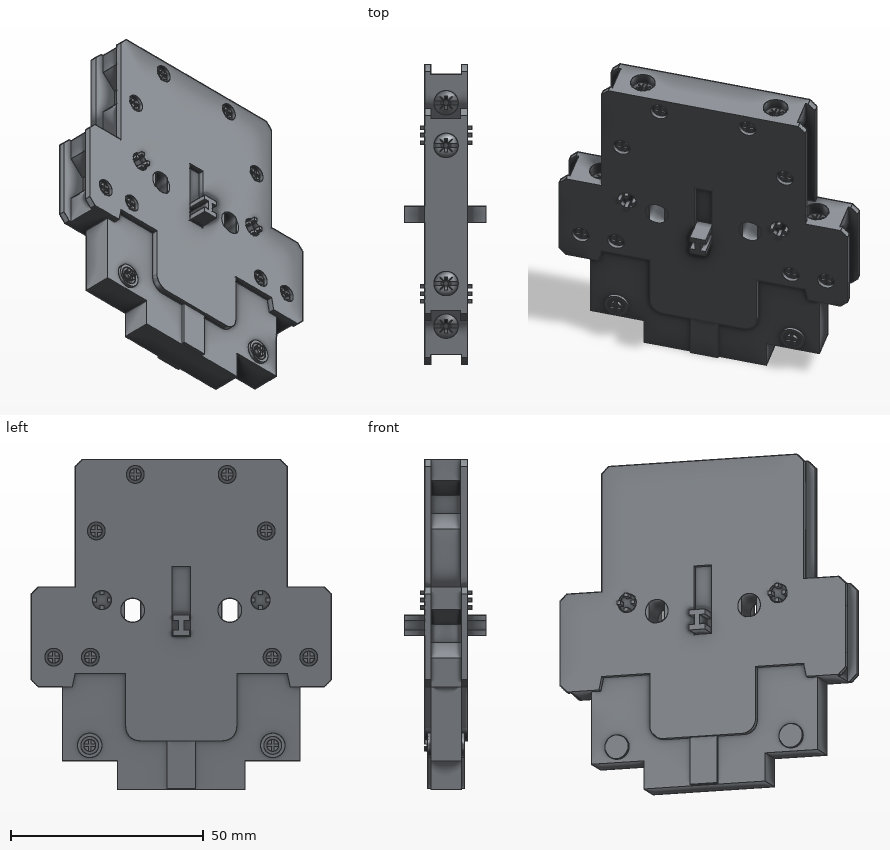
import cadquery as cq


housing_half = 5.6
core_half = 3.95
base_relief_half = 4.8
upper_gap_right = 3.7

total_height = 85.8
tier_top = 52.7
tier_bottom = 26.7
shoulder_height = 30.2
tongue_bottom = 12.7
base_bottom = 7.5

total_length = 78.0
lower_half = total_length / 2
upper_half = 27.5
cheek_foot_half = 28.3
tongue_half = 14.4
base_half = 30.9
foot_half = 16.6
corner_chamfer = 1.9
tongue_radius = 3.6

entry_setback = 2.6
funnel_depth = 4.3
funnel_upper_slope = 3.95
funnel_throat = 4.6
funnel_lower_slope = 4.0
upper_lip = 5.5
lower_lip = 5.8

strip_half = 3.7
strip_bottom = 0.3

bore_y = 12.6
bore_z = 46.6
bore_radius = 3.1
bore_opening_half = 2.1
bore_lip = 0.3

guide_half = 2.4
guide_bottom = 39.7
guide_top = 57.9
guide_depth = 1.55
slider_left = -10.8
slider_length = 21.2
slider_half = 2.15
slider_bottom = 40.0
slider_top = 45.3
slider_web_half = 0.7
slider_web_bottom = 41.4
slider_web_top = 43.9

terminal_radius = 3.2
terminal_head_height = 1.9
terminal_dome = 0.7
terminal_slot_width = 1.0
terminal_slot_depth = 0.9
terminal_cross_reach = 1.9
terminal_cross_width = 0.9
terminal_cross_depth = 1.7
terminal_cross_floor = 0.7
terminal_mark_reach = 2.2
terminal_mark_width = 0.2
terminal_mark_depth = 0.7
terminal_places = [(17.9, total_height, 4.6), (29.0, tier_top, 5.3)]

screw_hole_radius = 2.3
screw_hole_depth = 1.2
screw_head_radius = 1.55
screw_head_height = 0.9
screw_cross_width = 0.7
screw_cross_depth = 0.6
screw_places = [(11.9, 81.85), (22.05, 67.2), (33.1, 34.4), (23.6, 34.4)]

boss_y = 23.8
boss_z = 11.5
boss_radius = 3.2
boss_rim_depth = 0.3

peg_y = 20.6
peg_z = 49.25
peg_radius = 2.5
peg_disc_height = 0.9
peg_sunk = 1.55
prong_inner = 1.5
prong_outer = 2.4
prong_width = 1.0
prong_reach = 1.1


def block(x0, x1, y0, y1, z0, z1):
    """Box between opposite corner coordinates."""
    return cq.Workplane("XY").box(x1 - x0, y1 - y0, z1 - z0, centered=False).translate((x0, y0, z0))


def rod(radius, x0, x1, y, z):
    """Cylinder along X."""
    return cq.Workplane("YZ", origin=(x0, 0, 0)).center(y, z).circle(radius).extrude(x1 - x0)


def symmetric_plate(half_outline, x0, x1):
    """Plate from the +Y half of an outline, listed from top to bottom."""
    mirrored = [(-y, z) for y, z in reversed(half_outline)]
    return cq.Workplane("YZ", origin=(x0, 0, 0)).polyline(half_outline + mirrored).close().extrude(x1 - x0)


def cross(reach, width, x0, x1, y, z):
    """Two crossed bars, facing along X."""
    half = width / 2
    upright = block(x0, x1, y - half, y + half, z - reach, z + reach)
    level = block(x0, x1, y - reach, y + reach, z - half, z + half)
    return upright.union(level)



def funnel_points(entry_y, lip_bottom):
    """Outline of one wire entry, from the lip down."""
    throat_y = entry_y - funnel_depth
    throat_top = lip_bottom - funnel_upper_slope
    throat_bottom = throat_top - funnel_throat
    return [
        (entry_y, lip_bottom),
        (throat_y, throat_top),
        (throat_y, throat_bottom),
        (entry_y, throat_bottom - funnel_lower_slope),
    ]


def make_core():
    """Middle of the housing, with both tiers, the wire entries and the base."""
    upper_entry = upper_half - entry_setback
    lower_entry = lower_half - entry_setback
    outline = [(upper_entry, total_height)]
    outline += funnel_points(upper_entry, total_height - upper_lip)
    outline += [(upper_entry, tier_top), (lower_entry, tier_top)]
    outline += funnel_points(lower_entry, tier_top - lower_lip)
    outline += [
        (lower_entry, tier_bottom),
        (base_half, tier_bottom),
        (base_half, base_bottom),
        (foot_half, base_bottom),
        (foot_half, 0),
    ]
    return symmetric_plate(outline, -core_half, core_half)


def make_cheek(x0, x1):
    """Side plate with chamfered corners and a rounded tongue over the base."""
    c = corner_chamfer
    outline = [
        (upper_half - c, total_height),
        (upper_half, total_height - c),
        (upper_half, tier_top),
        (lower_half - c, tier_top),
        (lower_half, tier_top - c),
        (lower_half, tier_bottom + c),
        (lower_half - c, tier_bottom),
        (cheek_foot_half, tier_bottom),
        (upper_half, shoulder_height),
    ]
    tongue = block(x0, x1, -tongue_half, tongue_half, tongue_bottom, tier_top)
    tongue = tongue.edges("|X and <Z").fillet(tongue_radius)
    return symmetric_plate(outline, x0, x1).union(tongue)


def make_upper_liner():
    """Extra thickness inside the +X cheek of the upper tier."""
    cheek = make_cheek(upper_gap_right, core_half)
    upper_zone = block(0, housing_half, -upper_half, upper_half, tier_top, total_height)
    return cheek.intersect(upper_zone)


def make_base_relief():
    """Raised strip and two screw bosses on both faces of the base."""
    r = base_relief_half
    relief = block(-r, r, -strip_half, strip_half, strip_bottom, tongue_bottom)
    for y in (-boss_y, boss_y):
        relief = relief.union(rod(boss_radius, -r, r, y, boss_z))
    return relief


def make_bore(y):
    """Round bore through the housing, clipped to a narrower opening at each face."""
    bore = rod(bore_radius, -housing_half, housing_half, y, bore_z)
    bottom, top = bore_z - bore_radius, bore_z + bore_radius
    lip_back = housing_half - bore_lip
    chamber = block(-lip_back, lip_back, y - bore_radius, y + bore_radius, bottom, top)
    opening = block(
        -housing_half, housing_half, y - bore_opening_half, y + bore_opening_half, bottom, top
    )
    return bore.intersect(chamber.union(opening))


def add_screw(housing, face_x, y, z, hole_depth, head_height):
    """Round sinking in a -X face with a cross-slotted screw head standing on its floor."""
    floor_x = face_x + hole_depth
    top_x = floor_x - head_height
    head = rod(screw_head_radius, top_x, floor_x, y, z)
    head = head.cut(cross(screw_head_radius, screw_cross_width, top_x, top_x + screw_cross_depth, y, z))
    return housing.cut(rod(screw_hole_radius, face_x, floor_x, y, z)).union(head)


def make_housing():
    """Core, cheeks and base relief, with seats for the other bodies."""
    housing = make_core()
    housing = housing.union(make_cheek(-housing_half, -core_half))
    housing = housing.union(make_cheek(core_half, housing_half))
    housing = housing.union(make_upper_liner()).union(make_base_relief())

    guide_floor = housing_half - guide_depth
    for x0, x1 in ((-housing_half, -guide_floor), (guide_floor, housing_half)):
        housing = housing.cut(block(x0, x1, -guide_half, guide_half, guide_bottom, guide_top))
    housing = housing.cut(make_slider())

    boss_head_height = housing_half - base_relief_half + boss_rim_depth
    peg_seat_depth = peg_sunk + peg_disc_height
    for side in (-1, 1):
        housing = housing.cut(make_bore(side * bore_y))
        for y, z in screw_places:
            housing = add_screw(housing, -housing_half, side * y, z, screw_hole_depth, screw_head_height)
        housing = add_screw(
            housing, -base_relief_half, side * boss_y, boss_z, boss_rim_depth, boss_head_height
        )
        for y, top, depth in terminal_places:
            hole = cq.Workplane("XY").circle(terminal_radius).extrude(-depth)
            housing = housing.cut(hole.translate((0, side * y, top)))
        seat_floor = housing_half - peg_seat_depth
        housing = housing.cut(rod(peg_radius, -housing_half, -seat_floor, side * peg_y, peg_z))
        housing = housing.cut(rod(peg_radius, seat_floor, housing_half, side * peg_y, peg_z))
    return housing



def make_slider():
    """I-section bar that passes through the housing."""
    right = slider_left + slider_length
    bar = block(slider_left, right, -slider_half, slider_half, slider_bottom, slider_top)
    for y0, y1 in ((-slider_half, -slider_web_half), (slider_web_half, slider_half)):
        bar = bar.cut(block(slider_left, right, y0, y1, slider_web_bottom, slider_web_top))
    return bar



def top_bar(half_length, width, depth, angle):
    """Bar for cutting a groove into the domed screw head."""
    top = terminal_head_height + terminal_dome
    bar = block(-half_length, half_length, -width / 2, width / 2, top - depth, top)
    return bar.rotate((0, 0, 0), (0, 0, 1), angle)


def cross_arm(angle):
    """Bar with inward-sloping ends for cutting one arm pair of the cross recess."""
    top = terminal_head_height + terminal_dome
    floor = top - terminal_cross_depth
    outline = [
        (-terminal_cross_reach, top),
        (terminal_cross_reach, top),
        (terminal_cross_floor, floor),
        (-terminal_cross_floor, floor),
    ]
    bar = cq.Workplane("XZ").polyline(outline).close().extrude(terminal_cross_width / 2, both=True)
    return bar.rotate((0, 0, 0), (0, 0, 1), angle)


def make_terminal_screw(y, floor_z):
    """Domed head with a slot, a cross recess and diagonal marks, filling the bottom of its hole."""
    crown = terminal_head_height + terminal_dome
    dome_radius = (terminal_radius**2 + terminal_dome**2) / (2 * terminal_dome)
    dome = cq.Workplane("XY").sphere(dome_radius).translate((0, 0, crown - dome_radius))
    head = cq.Workplane("XY").circle(terminal_radius).extrude(crown).intersect(dome)
    head = head.cut(top_bar(terminal_radius, terminal_slot_width, terminal_slot_depth, 0))
    for angle in (0, 90):
        head = head.cut(cross_arm(angle))
    for angle in (45, 135):
        head = head.cut(top_bar(terminal_mark_reach, terminal_mark_width, terminal_mark_depth, angle))
    return head.translate((0, y, floor_z))



def make_peg(side_x, y):
    """Sunk disc with four prongs that stand out of the housing."""
    disc_bottom = housing_half - peg_sunk - peg_disc_height
    disc_top = housing_half - peg_sunk
    peg = rod(peg_radius, disc_bottom, disc_top, 0, 0)
    prong = block(
        disc_top, housing_half + prong_reach, prong_inner, prong_outer, -prong_width / 2, prong_width / 2
    )
    for angle in (0, 90, 180, 270):
        peg = peg.union(prong.rotate((0, 0, 0), (1, 0, 0), angle))
    if side_x < 0:
        peg = peg.mirror("YZ")
    return peg.translate((0, y, peg_z))


housing = make_housing()
slider = make_slider()
terminal_screws = [
    make_terminal_screw(side * y, top - depth).val()
    for side in (-1, 1)
    for y, top, depth in terminal_places
]
pegs = [make_peg(side_x, side_y * peg_y).val() for side_x in (-1, 1) for side_y in (-1, 1)]

result = cq.Compound.makeCompound([housing.val(), slider.val(), *terminal_screws, *pegs])